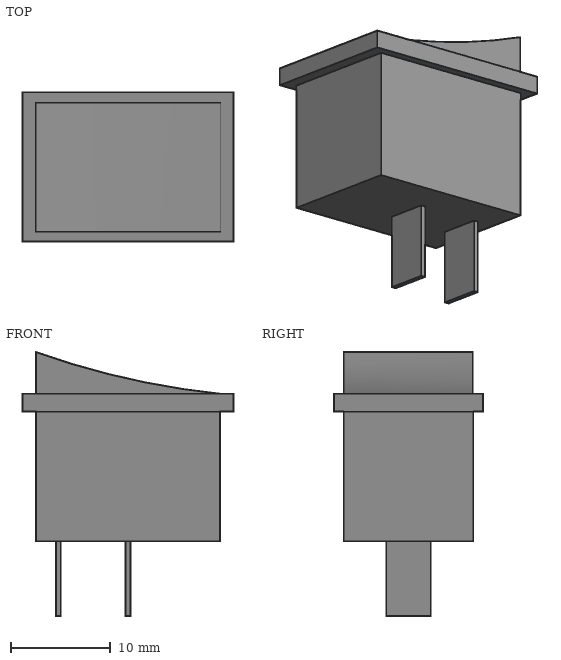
import cadquery as cq

flange_length = 21.2
flange_width = 15.0
flange_height = 1.8

body_length = 18.5
body_width = 13.0
body_height = 13.0

rocker_length = body_length
rocker_width = 12.95
rocker_shift_y = -0.03
rocker_rise = 4.2
rocker_sag = 0.58

terminal_thickness = 0.5
terminal_width = 4.5
terminal_height = 7.5
terminal_pitch = 7.0
terminal_positions = (-terminal_pitch, 0.0)


def block(length, width, height, bottom, x=0.0):
    """Box centred on Y = 0, standing on the given Z level."""
    return (
        cq.Workplane("XY")
        .box(length, width, height, centered=(True, True, False))
        .translate((x, 0, bottom))
    )


def make_rocker():
    """Side profile in XZ, extruded across the width."""
    half_length = rocker_length / 2
    top_of_flange = flange_height
    arc_middle = top_of_flange + rocker_rise / 2 - rocker_sag
    return (
        cq.Workplane("XZ")
        .moveTo(-half_length, 0)
        .lineTo(half_length, 0)
        .lineTo(half_length, top_of_flange)
        .threePointArc((0, arc_middle), (-half_length, top_of_flange + rocker_rise))
        .close()
        .extrude(rocker_width / 2, both=True)
        .translate((0, rocker_shift_y, 0))
    )


flange = block(flange_length, flange_width, flange_height, 0)
body = block(body_length, body_width, body_height, -body_height)

result = flange.union(body).union(make_rocker())
for position in terminal_positions:
    terminal_bottom = -body_height - terminal_height
    terminal = block(terminal_thickness, terminal_width, terminal_height, terminal_bottom, position)
    result = result.union(terminal)